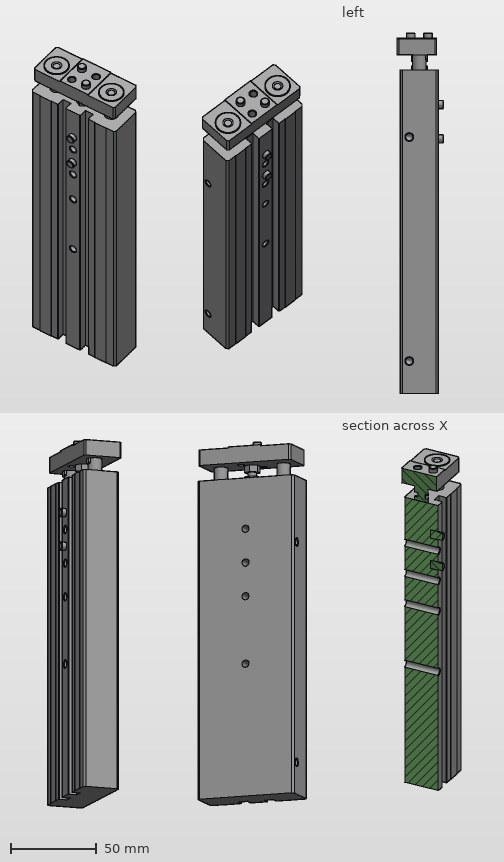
import cadquery as cq
import math


total_height = 210.0
housing_height = 188.4
plate_bottom = 197.2
plate_thickness = 9.2
plate_shoulder = plate_bottom + plate_thickness
plate_top = plate_shoulder + 0.6

housing_width = 60.0
housing_back = 11.1
housing_front = -11.0
land_height = 0.2
land_front = housing_front - land_height
corner_chamfer = 1.3
rib_half_width = 5.2
rib_bevel = 0.5
slot_width = 5.5
slot_floor = -5.9
lip_chamfer = 0.5
guide_offset = 19.5
guide_diameter = 8.0

pin_diameter = 5.0
pin_seat_depth = 5.0
pin_end_chamfer = 0.5
pin_front = -14.0
hole_diameter = 4.2
hole_chamfer = (pin_diameter - hole_diameter) / 2
first_pin_z = housing_height - 20.2
last_hole_drop = 89.9
last_hole_step = 9
hole_pitch = last_hole_drop / last_hole_step
front_hole_steps = (1, 3, 5, last_hole_step)
front_pin_steps = (0, 2)

port_y = 5.9
port_heights = (19.0, 149.3)
port_depth = 6.3

plate_width = 57.5
plate_back = 13.0
plate_front = -10.0
plate_chamfer = 1.0
pad_half_width = 10.0
plate_hole_offset = 5.0

head_diameter = 15.0
head_depth = 4.2
head_chamfer = 0.5
socket_diameter = 6.0
socket_floor_diameter = 4.2
socket_depth = 0.5
key_width = 3.8
key_height = 3.2
key_reach = 4.6
key_corner = 0.6

rod_diameter = 5.0
hex_flats = 8.0
upper_hex_bottom = 193.2
lower_hex_top = 190.7


def cylinder_z(diameter, bottom, top, x=0.0, y=0.0):
    """Upright cylinder between two heights."""
    return cq.Workplane("XY", origin=(x, y, bottom)).circle(diameter / 2).extrude(top - bottom)


def cylinder_y(diameter, front, back, z):
    """Cylinder along Y on the mid plane, between two depths."""
    return cq.Workplane("XZ", origin=(0, front, z)).circle(diameter / 2).extrude(front - back)


def block(x_range, y_range, z_range):
    """Box given by its limits along each axis."""
    (x0, x1), (y0, y1), (z0, z1) = x_range, y_range, z_range
    return cq.Workplane("XY").box(x1 - x0, y1 - y0, z1 - z0, centered=False).translate((x0, y0, z0))


def centered_range(middle, width):
    return middle - width / 2, middle + width / 2


def extruded_profile():
    """Housing with chamfered corners, a rib between two front slots and a raised land before each rod."""
    height_range = (0, housing_height)
    body = block(centered_range(0, housing_width), (housing_front, housing_back), height_range)
    body = body.edges("|Z").chamfer(corner_chamfer)
    recess_half_width = rib_half_width + slot_width
    recess = (
        cq.Workplane("XY")
        .moveTo(-recess_half_width, slot_floor)
        .lineTo(-recess_half_width, housing_front + lip_chamfer)
        .lineTo(-recess_half_width - lip_chamfer, housing_front)
        .lineTo(recess_half_width + lip_chamfer, housing_front)
        .lineTo(recess_half_width, housing_front + lip_chamfer)
        .lineTo(recess_half_width, slot_floor)
        .close()
        .extrude(housing_height)
    )
    body = body.cut(recess)
    for side in (-1, 1):
        land_range = centered_range(side * guide_offset, guide_diameter)
        body = body.union(block(land_range, (land_front, housing_front), height_range))
    rib = block((-rib_half_width, rib_half_width), (land_front, slot_floor), height_range)
    rib = rib.edges("|Z and <Y").chamfer(rib_bevel)
    return body.union(rib)


def chamfered_hole(plane, mouth_center, depth):
    """Through hole with a chamfered mouth, sunk against the normal of the plane."""
    bore = cq.Workplane(plane, origin=mouth_center).circle(hole_diameter / 2).extrude(-depth)
    mouth = (
        cq.Workplane(plane, origin=mouth_center)
        .circle(pin_diameter / 2)
        .workplane(offset=-hole_chamfer)
        .circle(hole_diameter / 2)
        .loft()
    )
    return bore.union(mouth)


def port(z):
    """Blind drilled hole in the left side with a chamfered mouth and a drill point, turned about its axis."""
    radius = hole_diameter / 2
    return (
        cq.Workplane("XY", origin=(-housing_width / 2, port_y, z))
        .lineTo(0, radius + hole_chamfer)
        .lineTo(hole_chamfer, radius)
        .lineTo(port_depth, radius)
        .lineTo(port_depth + radius, 0)
        .close()
        .revolve(360, (0, 0, 0), (1, 0, 0))
    )


def row_height(step):
    """Height of a hole or pin, counted in pitches down from the first pin."""
    return first_pin_z - step * hole_pitch


def make_housing():
    body = extruded_profile()
    for step in front_hole_steps:
        mouth_center = (0, land_front, row_height(step))
        body = body.cut(chamfered_hole("XZ", mouth_center, housing_back - land_front))
    for step in front_pin_steps:
        seat = cylinder_y(pin_diameter, land_front, land_front + pin_seat_depth, row_height(step))
        body = body.cut(seat)
    for z in port_heights:
        body = body.cut(port(z))
    return body


def make_front_pin(z):
    pin = cylinder_y(pin_diameter, pin_front, land_front + pin_seat_depth, z)
    return pin.faces("<Y").chamfer(pin_end_chamfer)


def make_top_pin(x, y):
    pin = cylinder_z(pin_diameter, plate_top - pin_seat_depth, total_height, x, y)
    return pin.faces(">Z").chamfer(pin_end_chamfer)


def make_piston_rod():
    """Piston rod between housing and plate, with a hexagon at each end whose corner points to the front."""
    hex_corners = hex_flats / math.cos(math.pi / 6)
    rod = cylinder_z(rod_diameter, housing_height, plate_bottom)
    for bottom, top in ((housing_height, lower_hex_top), (upper_hex_bottom, plate_bottom)):
        hexagon = cq.Workplane("XY").polygon(6, hex_corners).extrude(top - bottom)
        rod = rod.union(hexagon.rotate((0, 0, 0), (0, 0, 1), 90).translate((0, 0, bottom)))
    return rod


def make_plate():
    """End plate with a raised middle, rod head seats, two through holes, two pin seats and the piston rod."""
    depth_range = (plate_front, plate_back)
    plate = block(centered_range(0, plate_width), depth_range, (plate_bottom, plate_shoulder))
    plate = plate.edges("|Z").chamfer(plate_chamfer)
    plate = plate.union(block((-pad_half_width, pad_half_width), depth_range, (plate_bottom, plate_top)))
    for side in (-1, 1):
        x = side * guide_offset
        plate = plate.cut(cylinder_z(guide_diameter, plate_bottom, plate_shoulder, x))
        plate = plate.cut(cylinder_z(head_diameter, plate_shoulder - head_depth, plate_shoulder, x))
        offset = side * plate_hole_offset
        plate = plate.cut(chamfered_hole("XY", (offset, offset, plate_top), plate_top - plate_bottom))
        plate = plate.cut(cylinder_z(pin_diameter, plate_top - pin_seat_depth, plate_top, offset, -offset))
    return plate.union(make_piston_rod())


def make_guide_rod(x):
    """Rod with a chamfered, countersunk head on top and a small key in front, below the plate."""
    head = cylinder_z(head_diameter, plate_shoulder - head_depth, plate_shoulder)
    head = head.faces(">Z").chamfer(head_chamfer)
    key_heights = (plate_bottom - key_height, plate_bottom)
    key = block(centered_range(0, key_width), (-key_reach, 0), key_heights)
    key = key.edges("|Y and <Z").chamfer(key_corner)
    socket = (
        cq.Workplane("XY", origin=(0, 0, plate_shoulder))
        .circle(socket_diameter / 2)
        .workplane(offset=-socket_depth)
        .circle(socket_floor_diameter / 2)
        .loft()
    )
    rod = cylinder_z(guide_diameter, housing_height, plate_shoulder).union(head).union(key).cut(socket)
    return rod.translate((x, 0, 0))


housing = make_housing()
plate = make_plate()
guide_rods = [make_guide_rod(side * guide_offset) for side in (-1, 1)]
top_pins = [make_top_pin(side * plate_hole_offset, -side * plate_hole_offset) for side in (-1, 1)]
front_pins = [make_front_pin(row_height(step)) for step in front_pin_steps]

result = cq.Compound.makeCompound(
    [body.val() for body in [housing, plate, *guide_rods, *top_pins, *front_pins]]
)